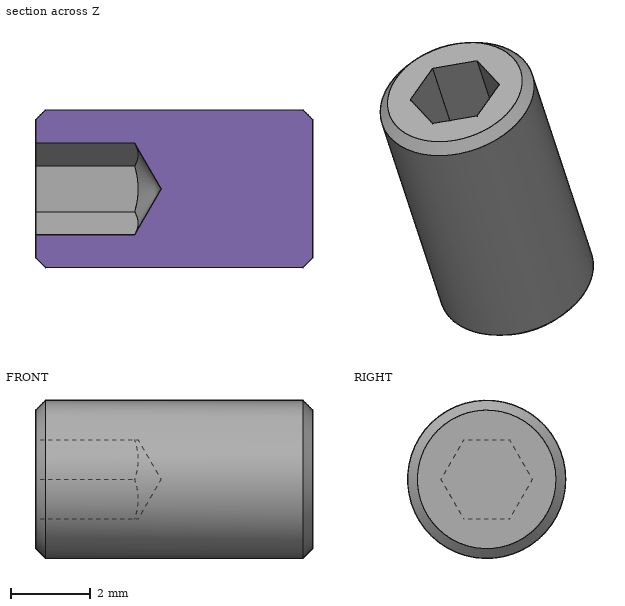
import cadquery as cq
import math

length = 7.0
diameter = 4.0
end_chamfer = 0.25

socket_sides = 6
socket_across_flats = 2.0
socket_depth = 2.5
floor_cone_angle = 120.0

socket_across_corners = socket_across_flats / math.cos(math.pi / socket_sides)
corner_radius = socket_across_corners / 2
floor_cone_height = corner_radius / math.tan(math.radians(floor_cone_angle / 2))
tip_depth = socket_depth + floor_cone_height
socket_face_x = -length / 2


def make_body():
    """Cylinder centred on the origin, chamfered at both ends."""
    cylinder = (
        cq.Workplane("YZ", origin=(socket_face_x, 0, 0))
        .circle(diameter / 2)
        .extrude(length)
    )
    return cylinder.faces("<X or >X").chamfer(end_chamfer)


def make_socket():
    """Hexagonal prism, corners towards +Y and -Y, with a cone-pointed inner end."""
    hexagon = (
        cq.Workplane("YZ", origin=(socket_face_x, 0, 0))
        .polygon(socket_sides, socket_across_corners)
        .extrude(tip_depth)
    )
    pointed_drill = (
        cq.Workplane("XZ")
        .moveTo(socket_face_x, 0)
        .lineTo(socket_face_x, corner_radius)
        .lineTo(socket_face_x + socket_depth, corner_radius)
        .lineTo(socket_face_x + tip_depth, 0)
        .close()
        .revolve(360, (0, 0, 0), (1, 0, 0))
    )
    return hexagon.intersect(pointed_drill)


result = make_body().cut(make_socket())